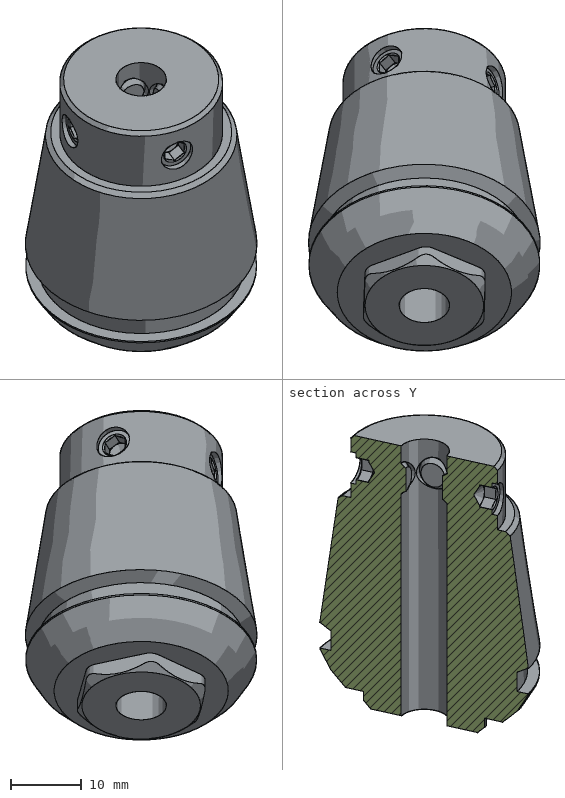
import cadquery as cq
import math

total_height = 43.0
bore_diameter = 7.1

neck_diameter = 23.0
neck_chamfer = 0.55

shoulder_z = 33.02
shoulder_chamfer_height = 0.55
shoulder_chamfer_width = 0.75
taper_top_diameter = 27.0
taper_bottom_diameter = 32.72
taper_bottom_z = 12.05

groove_diameter = 29.2
groove_upper_flank_slope = math.tan(math.radians(30))
rim_diameter = 32.6
rim_top_z = 8.0
rim_edge_height = 0.25
rim_cone_bottom_z = 4.9
rim_cone_angle = 30.0
nose_angle = 45.0

hex_height = 2.55
hex_across_flats = 17.0
hex_corner_radius = 2.0
hex_end_diameter = 16.73

screw_count = 4
screw_diameter = 4.9
screw_z = 37.75
screw_head_distance = 10.65
screw_tip_distance = 2.85
screw_tip_chamfer_width = 0.6
screw_tip_chamfer_length = 0.77
socket_across_flats = 3.0
socket_depth = 1.98
socket_mouth_diameter = 3.6
socket_mouth_depth = 0.2
socket_cone_angle = 59.0


def revolve_about_z(points):
    return cq.Workplane("XZ").polyline(points).close().revolve(360, (0, 0, 0), (0, 1, 0))


def make_body():
    neck_r = neck_diameter / 2
    taper_top_r = taper_top_diameter / 2
    taper_bottom_r = taper_bottom_diameter / 2
    groove_r = groove_diameter / 2
    rim_r = rim_diameter / 2
    groove_top_z = taper_bottom_z - (taper_bottom_r - groove_r) * groove_upper_flank_slope
    rim_edge_z = rim_top_z - rim_edge_height
    nose_top_r = rim_r - (rim_edge_z - rim_cone_bottom_z) * math.tan(math.radians(rim_cone_angle))
    nose_bottom_r = nose_top_r - (rim_cone_bottom_z - hex_height) * math.tan(math.radians(nose_angle))
    return revolve_about_z([
        (0, hex_height),
        (nose_bottom_r, hex_height),
        (nose_top_r, rim_cone_bottom_z),
        (rim_r, rim_edge_z),
        (rim_r, rim_top_z),
        (groove_r, rim_top_z),
        (groove_r, groove_top_z),
        (taper_bottom_r, taper_bottom_z),
        (taper_top_r, shoulder_z - shoulder_chamfer_height),
        (taper_top_r - shoulder_chamfer_width, shoulder_z),
        (neck_r, shoulder_z),
        (neck_r, total_height - neck_chamfer),
        (neck_r - neck_chamfer, total_height),
        (0, total_height),
    ])


def make_hex_end():
    corner_diameter = hex_across_flats / math.cos(math.radians(30))
    hexagon = (
        cq.Workplane("XY")
        .polygon(6, corner_diameter)
        .extrude(hex_height)
        .edges("|Z")
        .fillet(hex_corner_radius)
    )
    end_r = hex_end_diameter / 2
    cone = revolve_about_z([(0, 0), (end_r, 0), (end_r + hex_height, hex_height), (0, hex_height)])
    return hexagon.intersect(cone)


def make_screw():
    """Set screw along Z: flat chamfered tip at the bottom, hexagon socket at the top."""
    screw_r = screw_diameter / 2
    mouth_r = socket_mouth_diameter / 2
    corner_r = socket_across_flats / 2 / math.cos(math.radians(30))
    socket_floor = screw_head_distance - socket_depth
    cone_r = socket_across_flats / 2
    cone_depth = cone_r / math.tan(math.radians(socket_cone_angle))

    shank = revolve_about_z([
        (0, screw_tip_distance),
        (screw_r - screw_tip_chamfer_width, screw_tip_distance),
        (screw_r, screw_tip_distance + screw_tip_chamfer_length),
        (screw_r, screw_head_distance),
        (0, screw_head_distance),
    ])
    socket = (
        cq.Workplane("XY", origin=(0, 0, socket_floor))
        .polygon(6, 2 * corner_r)
        .extrude(socket_depth)
    )
    drill_point = revolve_about_z([
        (0, socket_floor - cone_depth),
        (cone_r, socket_floor),
        (0, socket_floor),
    ])
    mouth = revolve_about_z([
        (0, screw_head_distance - socket_mouth_depth),
        (mouth_r - socket_mouth_depth, screw_head_distance - socket_mouth_depth),
        (mouth_r, screw_head_distance),
        (0, screw_head_distance),
    ])
    return shank.cut(socket).cut(drill_point).cut(mouth)


def place_radially(shape, angle):
    """Lay a shape built along Z on the +X axis at screw height, then turn it about Z."""
    lying = shape.rotate((0, 0, 0), (0, 1, 0), 90)
    return lying.translate((0, 0, screw_z)).rotate((0, 0, 0), (0, 0, 1), angle)


result = make_body().union(make_hex_end())
result = result.cut(cq.Workplane("XY").circle(bore_diameter / 2).extrude(total_height))

screw = make_screw()
screw_hole = cq.Workplane("XY").circle(screw_diameter / 2).extrude(neck_diameter / 2)
screw_angles = [360 / screw_count * i for i in range(screw_count)]
for screw_angle in screw_angles:
    result = result.cut(place_radially(screw_hole, screw_angle))
for screw_angle in screw_angles:
    result = result.union(place_radially(screw, screw_angle))